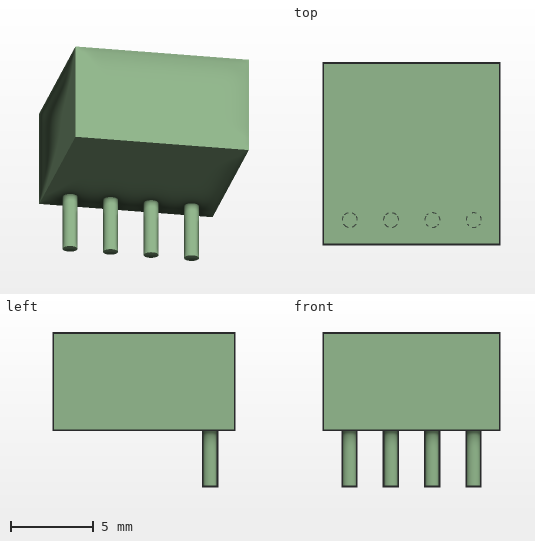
import cadquery as cq

body_length_x = 10.7
body_width_y = 11.0
body_height = 5.9

pin_count = 4
pin_pitch = 2.5
pin_diameter = 0.9
pin_length = 3.4
pin_row_inset = 1.5


def make_body():
    """Plain rectangular housing with its underside on Z = 0."""
    return cq.Workplane("XY").box(
        body_length_x, body_width_y, body_height, centered=(True, True, False)
    )


def make_pins():
    """Row of pins along X, hanging down from the underside."""
    row_y = -body_width_y / 2 + pin_row_inset
    return (
        cq.Workplane("XY")
        .center(0, row_y)
        .rarray(pin_pitch, 1, pin_count, 1)
        .circle(pin_diameter / 2)
        .extrude(-pin_length)
    )


result = make_body().union(make_pins())